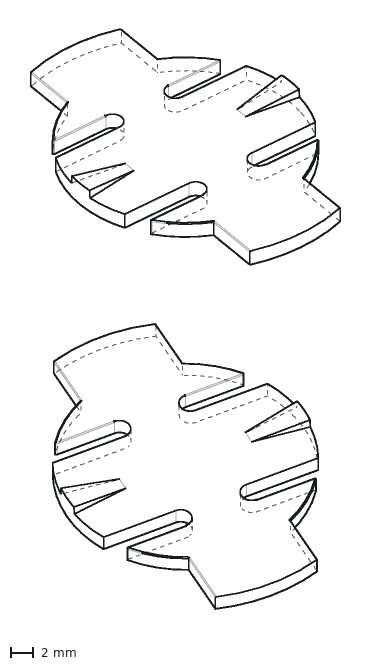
import cadquery as cq

overall_length = 33.2
arm_radius = overall_length / 2
disc_diameter = 23.4
disc_radius = disc_diameter / 2
plate_thickness = 1.55
total_height = 2.4

arm_width = 10.03
tab_width = 10.0
slot_width = 2.0
slot_inner_end = 2.5
slot_radius = slot_width / 2
slot_x = tab_width / 2 + slot_radius
slot_round_y = slot_inner_end + slot_radius

wing_inner_x = tab_width / 2 + slot_width
edge_radius = 0.1
tolerance = 0.003

ramp_inner_y = 6.2
ramp_inner_width = 1.25
ramp_outer_width = 2.72
ramp_overrun = 0.33
ramp_draft_angle = 6.0


def make_plate():
    disc = cq.Workplane("XY").circle(disc_radius).extrude(plate_thickness)
    arms = cq.Workplane("XY").rect(overall_length, arm_width).extrude(plate_thickness)
    arm_limit = cq.Workplane("XY").circle(arm_radius).extrude(plate_thickness)
    return disc.union(arms.intersect(arm_limit))


def make_slot_straight(x_side, y_side):
    """Straight stretch of a slot, open at the disc rim."""
    length = disc_radius - slot_round_y
    return (
        cq.Workplane("XY")
        .center(x_side * slot_x, y_side * (slot_round_y + length / 2))
        .rect(slot_width, length)
        .extrude(plate_thickness)
    )


def make_slot_end(x_side, y_side):
    """Round inner end of a slot."""
    return (
        cq.Workplane("XY")
        .center(x_side * slot_x, y_side * slot_round_y)
        .circle(slot_radius)
        .extrude(plate_thickness)
    )


def round_wings(plate):
    """Soften the wing tips, then the top edges of the wings and the arm sides."""
    tips = [
        edge for edge in plate.edges("|Z").vals()
        if abs(abs(edge.Center().x) - wing_inner_x) < tolerance
        and abs(edge.Center().y) > arm_width / 2
    ]
    plate = plate.newObject(tips).fillet(edge_radius)
    top_edges = [
        edge for edge in plate.faces(">Z").edges().vals()
        if abs(edge.Center().x) > wing_inner_x - tolerance
        and abs(edge.Center().y) > slot_round_y
    ]
    return plate.newObject(top_edges).fillet(edge_radius)


def make_ramp():
    """Ramp on the +Y tab: tapered in plan, sloped in profile, with drafted sides."""
    widening = (ramp_outer_width - ramp_inner_width) / (disc_radius - ramp_inner_y)
    plan_outer_y = disc_radius + ramp_overrun
    plan_outer_width = ramp_outer_width + widening * ramp_overrun
    plan = (
        cq.Workplane("XY", origin=(0, 0, plate_thickness))
        .polyline([
            (-ramp_inner_width / 2, ramp_inner_y),
            (ramp_inner_width / 2, ramp_inner_y),
            (plan_outer_width / 2, plan_outer_y),
            (-plan_outer_width / 2, plan_outer_y),
        ])
        .close()
        .extrude(total_height - plate_thickness, taper=ramp_draft_angle)
    )
    profile = (
        cq.Workplane("YZ")
        .polyline([
            (ramp_inner_y, plate_thickness),
            (disc_radius, total_height),
            (disc_radius, plate_thickness),
        ])
        .close()
        .extrude(ramp_outer_width / 2, both=True)
    )
    rim = cq.Workplane("XY").circle(disc_radius).extrude(total_height)
    return plan.intersect(profile).intersect(rim)


corners = [(x_side, y_side) for x_side in (-1, 1) for y_side in (-1, 1)]

plate = make_plate()
for x_side, y_side in corners:
    plate = plate.cut(make_slot_straight(x_side, y_side))
plate = round_wings(plate)
for x_side, y_side in corners:
    plate = plate.cut(make_slot_end(x_side, y_side))

ramp = make_ramp()
result = plate.union(ramp).union(ramp.mirror("XZ"))